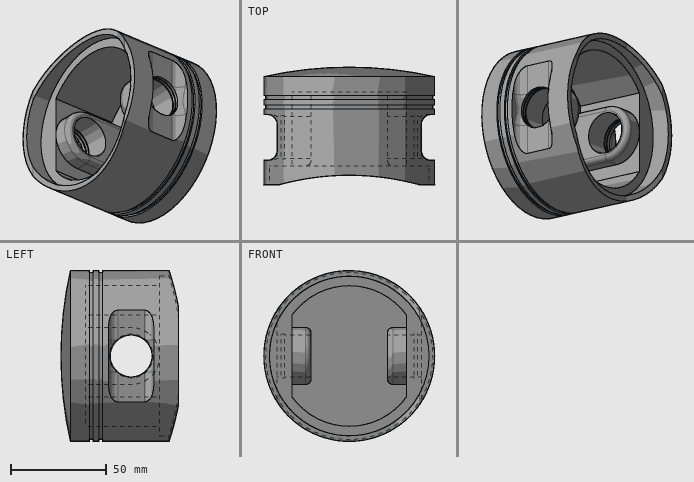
import cadquery as cq
import math


outer_radius = 45.0
skirt_length = 57.0
dome_height = 5.0

groove_width = 2.0
groove_depth = 1.0
groove_tops = (-10.0, -15.0)

mouth_radius = 42.0
mouth_depth = 10.0
cavity_radius = 37.0
cavity_half_width = 30.0
cavity_floor_y = -8.0

arch_half_span = 37.0
arch_height = 5.0

pin_y = -32.0
pin_radius = 11.0
boss_radius = 15.0
boss_inner_x = 20.0
boss_fillet = 3.0
pocket_floor_x = 38.0
pocket_width = 24.0
pocket_fillet = 5.0

clip_offset = 2.0
clip_width = 2.0
clip_depth = 0.5

SIDES = (-1, 1)
skirt_y = -skirt_length


def make_body():
    """Solid of revolution about Y: domed crown, two ring grooves and plain skirt."""
    groove_radius = outer_radius - groove_depth
    dome_radius = (outer_radius**2 + dome_height**2) / (2 * dome_height)
    dome_centre_y = dome_height - dome_radius
    mid_radius = outer_radius / 2
    mid_y = dome_centre_y + math.sqrt(dome_radius**2 - mid_radius**2)
    profile = cq.Workplane("ZY").moveTo(0, dome_height)
    profile = profile.threePointArc((mid_radius, mid_y), (outer_radius, 0))
    for top in groove_tops:
        bottom = top - groove_width
        profile = profile.lineTo(outer_radius, top).lineTo(groove_radius, top)
        profile = profile.lineTo(groove_radius, bottom).lineTo(outer_radius, bottom)
    profile = profile.lineTo(outer_radius, skirt_y).lineTo(0, skirt_y).close()
    return profile.revolve(360, (0, 0, 0), (0, 1, 0))


def y_cylinder(radius, bottom_y, top_y):
    """Cylinder on the piston axis."""
    return cq.Workplane("XZ", origin=(0, top_y, 0)).circle(radius).extrude(top_y - bottom_y)


def x_cylinder(radius, start_x, end_x):
    """Cylinder on the pin axis."""
    plane = cq.Plane(origin=(start_x, pin_y, 0), xDir=(0, 0, -1), normal=(1, 0, 0))
    return cq.Workplane(plane).circle(radius).extrude(end_x - start_x)


def make_cavity():
    """Wide mouth at the skirt edge and a deeper bore flattened beside the bosses."""
    depth = cavity_floor_y - skirt_y
    flat_sides = cq.Workplane("XY").box(2 * cavity_half_width, depth, 2 * cavity_radius)
    flat_sides = flat_sides.translate((0, skirt_y + depth / 2, 0))
    bore = y_cylinder(cavity_radius, skirt_y, cavity_floor_y).intersect(flat_sides)
    return bore.union(y_cylinder(mouth_radius, skirt_y, skirt_y + mouth_depth))


def make_arch():
    """Cutter for the shallow arch across the skirt edge, running along Z."""
    arch = (
        cq.Workplane("XY")
        .moveTo(-arch_half_span, skirt_y)
        .threePointArc((0, skirt_y + arch_height), (arch_half_span, skirt_y))
        .close()
    )
    return arch.extrude(outer_radius, both=True)


def make_boss(side):
    """U-shaped pin boss on a cavity flat, running straight up into the crown and rounded inside."""
    boss = (
        cq.Workplane("YZ", origin=(boss_inner_x, 0, 0))
        .moveTo(cavity_floor_y, -boss_radius)
        .lineTo(pin_y, -boss_radius)
        .threePointArc((pin_y - boss_radius, 0), (pin_y, boss_radius))
        .lineTo(cavity_floor_y, boss_radius)
        .close()
        .extrude(cavity_half_width - boss_inner_x)
    )
    boss = boss.faces("<X").edges("not >Y").fillet(boss_fillet)
    return boss if side > 0 else boss.mirror("YZ")


def make_pocket(side):
    """Cutter for the flat-floored pocket across one side of the skirt."""
    depth = outer_radius - pocket_floor_x
    pocket = cq.Workplane("XY").box(depth, pocket_width, 2 * outer_radius)
    return pocket.translate((side * (pocket_floor_x + depth / 2), pin_y, 0))


def make_clip_groove(side):
    """Cutter for the circlip groove near one outer end of the pin bore."""
    outer_x = pocket_floor_x - clip_offset
    ring = x_cylinder(pin_radius + clip_depth, outer_x - clip_width, outer_x)
    return ring if side > 0 else ring.mirror("YZ")


def round_pocket_corners(part):
    """Round the long inner corners of both pockets, running past the pin bore."""
    half = pocket_width / 2
    tolerance = 0.1
    for side in SIDES:
        for wall in SIDES:
            x = side * pocket_floor_x
            y = pin_y + wall * half
            low = (x - tolerance, y - tolerance, -outer_radius)
            high = (x + tolerance, y + tolerance, outer_radius)
            part = part.edges(cq.selectors.BoxSelector(low, high)).edges("|Z").fillet(pocket_fillet)
    return part


result = make_body().cut(make_cavity()).cut(make_arch())
for side in SIDES:
    result = result.union(make_boss(side)).cut(make_pocket(side))
result = result.cut(x_cylinder(pin_radius, -outer_radius, outer_radius))
result = round_pocket_corners(result)
for side in SIDES:
    result = result.cut(make_clip_groove(side))